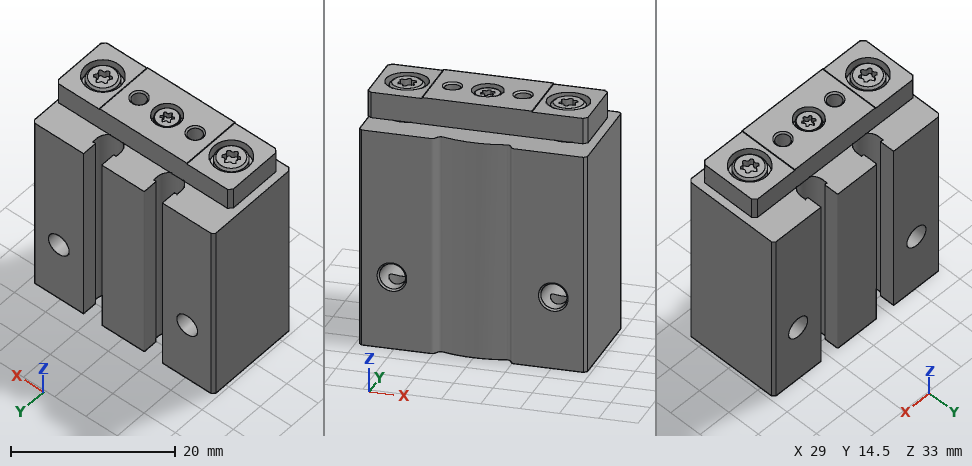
import cadquery as cq
import math


housing_width = 29.0
housing_height = 28.5
front_y = -6.25
back_y = 8.25
corner_chamfer = 0.4

slot_inner_x = 3.4
slot_outer_x = 6.3
undercut_inner_x = 3.0
undercut_outer_x = 6.73
lip_depth = 2.25
slot_round_depth = 2.97
lip_round = 0.13

relief_mouth_half_width = 5.0
relief_floor_half_width = 4.42
relief_depth = 1.0
bulge_depth = 0.3
relief_round = 0.53

guide_x = 10.25
cross_hole_diameter = 3.3
cross_hole_z = 9.5
cross_hole_chamfer = 0.23
chamfer_angle = 45
foot_hole_diameter = 2.48
foot_hole_y = -3.25

plate_width = 28.0
plate_depth = 8.98
plate_chamfer = 0.5
plate_gap = 1.0
pad_width = 14.0
pad_height = 0.13
overall_height = 33.0
pin_hole_x = 4.5
pin_hole_diameter = 2.0
pin_hole_chamfer = 0.23

guide_rod_diameter = 5.0
guide_rod_chamfer = 0.25
centre_rod_diameter = 3.0

counterbore_depth = 1.6
guide_counterbore_diameter = 5.4
guide_head_diameter = 4.35
guide_head_chamfer = 0.3
guide_head_recess = 0.13
guide_star_tip_diameter = 2.3
guide_star_root_diameter = 1.68
guide_star_depth = 1.0
centre_counterbore_diameter = 4.0
centre_head_diameter = 3.27
centre_head_chamfer = 0.1
centre_head_recess = 0.33
centre_star_tip_diameter = 1.78
centre_star_root_diameter = 1.2
centre_star_depth = 0.8
star_lobes = 6

plate_bottom_z = housing_height + plate_gap
plate_top_z = overall_height - pad_height
plate_thickness = plate_top_z - plate_bottom_z


def vertical_edges_at(body, points):
    """Upright edges of the body that pass through the given (x, y) points."""
    tolerance = 0.003
    edges = body.edges("|Z")
    return edges.filter(
        lambda edge: any(math.dist((edge.Center().x, edge.Center().y), p) < tolerance for p in points)
    )


def sensor_slot(side):
    """Slot with a narrow mouth and a round-bottomed undercut; side is -1 or 1."""
    lip_y = back_y - lip_depth
    round_y = back_y - slot_round_depth
    round_x = (undercut_inner_x + undercut_outer_x) / 2
    bottom_y = round_y - (undercut_outer_x - undercut_inner_x) / 2
    return (
        cq.Workplane("XY")
        .moveTo(side * slot_inner_x, back_y)
        .lineTo(side * slot_inner_x, lip_y)
        .lineTo(side * undercut_inner_x, lip_y)
        .lineTo(side * undercut_inner_x, round_y)
        .threePointArc((side * round_x, bottom_y), (side * undercut_outer_x, round_y))
        .lineTo(side * undercut_outer_x, lip_y)
        .lineTo(side * slot_outer_x, lip_y)
        .lineTo(side * slot_outer_x, back_y)
        .close()
        .extrude(housing_height)
    )


def front_relief():
    """Shallow channel with sloped sides and a floor that bulges forward."""
    floor_y = front_y + relief_depth
    return (
        cq.Workplane("XY")
        .moveTo(-relief_mouth_half_width, front_y)
        .lineTo(-relief_floor_half_width, floor_y)
        .threePointArc((0, front_y + bulge_depth), (relief_floor_half_width, floor_y))
        .lineTo(relief_mouth_half_width, front_y)
        .close()
        .extrude(housing_height)
    )


def cross_holes():
    """Holes through the housing from front to back, chamfered at the front."""
    mouths = [(-guide_x, cross_hole_z), (guide_x, cross_hole_z)]
    radius = cross_hole_diameter / 2
    front_plane = cq.Workplane("XZ", origin=(0, front_y, 0)).pushPoints(mouths)
    bores = front_plane.circle(radius).extrude(front_y - back_y)
    countersinks = front_plane.circle(radius + cross_hole_chamfer).extrude(
        -cross_hole_chamfer, taper=chamfer_angle
    )
    return bores.union(countersinks)


def foot_holes():
    """Upright holes from the underside into the cross holes."""
    return (
        cq.Workplane("XY")
        .pushPoints([(-guide_x, foot_hole_y), (guide_x, foot_hole_y)])
        .circle(foot_hole_diameter / 2)
        .extrude(cross_hole_z)
    )


def make_housing():
    block = (
        cq.Workplane("XY")
        .box(housing_width, back_y - front_y, housing_height, centered=(True, False, False))
        .translate((0, front_y, 0))
        .edges("|Z")
        .chamfer(corner_chamfer)
    )
    sides = (-1, 1)
    body = block.cut(front_relief())
    for side in sides:
        body = body.cut(sensor_slot(side))
    lip_corners = [(s * slot_inner_x, y) for s in sides for y in (back_y, back_y - lip_depth)]
    body = vertical_edges_at(body, lip_corners).fillet(lip_round)
    relief_corners = [(s * relief_mouth_half_width, front_y) for s in sides]
    relief_corners += [(s * relief_floor_half_width, front_y + relief_depth) for s in sides]
    body = vertical_edges_at(body, relief_corners).fillet(relief_round)
    return body.cut(cross_holes()).cut(foot_holes())


def star_socket(tip_diameter, root_diameter, depth):
    """Six-lobed drive socket reaching down from z = 0, with one lobe toward +Y."""
    tip_radius = tip_diameter / 2
    root_radius = root_diameter / 2
    mean_radius = (tip_radius + root_radius) / 2
    half_pitch = math.pi / star_lobes
    quarter_pitch = half_pitch / 2

    def polar(radius, angle):
        return (-radius * math.sin(angle), radius * math.cos(angle))

    outline = cq.Workplane("XY").moveTo(*polar(mean_radius, -quarter_pitch))
    for lobe in range(star_lobes):
        tip_angle = 2 * half_pitch * lobe
        root_angle = tip_angle + half_pitch
        outline = outline.threePointArc(
            polar(tip_radius, tip_angle), polar(mean_radius, tip_angle + quarter_pitch)
        )
        outline = outline.threePointArc(
            polar(root_radius, root_angle), polar(mean_radius, root_angle + quarter_pitch)
        )
    return outline.close().extrude(-depth)


def screw_head(diameter, chamfer, height, socket):
    """Round head standing on z = 0 with a chamfered rim and a drive socket."""
    head = cq.Workplane("XY").circle(diameter / 2).extrude(height).faces(">Z").chamfer(chamfer)
    return head.cut(socket.translate((0, 0, height)))


def counterbore(x, diameter, top_z):
    """Flat-bottomed recess for a screw head, sunk from the given level."""
    bore = cq.Workplane("XY").circle(diameter / 2).extrude(counterbore_depth)
    return bore.translate((x, 0, top_z - counterbore_depth))


def rod(diameter):
    """Round rod from the housing's top face to the plate."""
    return cq.Workplane("XY", origin=(0, 0, housing_height)).circle(diameter / 2).extrude(plate_gap)


def pin_hole(x):
    """Hole through the plate and its pad, chamfered at the top."""
    radius = pin_hole_diameter / 2
    height = overall_height - plate_bottom_z
    chamfer_z = overall_height - pin_hole_chamfer
    bore = cq.Workplane("XY", origin=(x, 0, plate_bottom_z)).circle(radius).extrude(height)
    mouth = cq.Solid.makeCone(
        radius, radius + pin_hole_chamfer, pin_hole_chamfer, pnt=(x, 0, chamfer_z)
    )
    return bore.union(cq.Workplane(mouth))


def make_slide():
    """Moving body: plate, raised pad, rods and screw heads."""
    plate = (
        cq.Workplane("XY", origin=(0, 0, plate_bottom_z))
        .rect(plate_width, plate_depth)
        .extrude(plate_thickness)
        .edges("|Z")
        .chamfer(plate_chamfer)
    )
    pad = cq.Workplane("XY", origin=(0, 0, plate_top_z)).rect(pad_width, plate_depth).extrude(pad_height)
    slide = plate.union(pad)

    guide_rod = rod(guide_rod_diameter).faces(">Z").chamfer(guide_rod_chamfer)
    guide_socket = star_socket(guide_star_tip_diameter, guide_star_root_diameter, guide_star_depth)
    guide_head_height = counterbore_depth - guide_head_recess
    guide_head = screw_head(guide_head_diameter, guide_head_chamfer, guide_head_height, guide_socket)
    guide_floor_z = plate_top_z - counterbore_depth
    for x in (-guide_x, guide_x):
        slide = slide.union(guide_rod.translate((x, 0, 0)))
        slide = slide.cut(counterbore(x, guide_counterbore_diameter, plate_top_z))
        slide = slide.union(guide_head.translate((x, 0, guide_floor_z)))

    centre_socket = star_socket(centre_star_tip_diameter, centre_star_root_diameter, centre_star_depth)
    centre_head_height = counterbore_depth - centre_head_recess
    centre_head = screw_head(centre_head_diameter, centre_head_chamfer, centre_head_height, centre_socket)
    slide = slide.union(rod(centre_rod_diameter))
    slide = slide.cut(counterbore(0, centre_counterbore_diameter, overall_height))
    slide = slide.union(centre_head.translate((0, 0, overall_height - counterbore_depth)))

    for x in (-pin_hole_x, pin_hole_x):
        slide = slide.cut(pin_hole(x))
    return slide


housing = make_housing()
slide = make_slide()
result = cq.Compound.makeCompound([*housing.solids().vals(), *slide.solids().vals()])